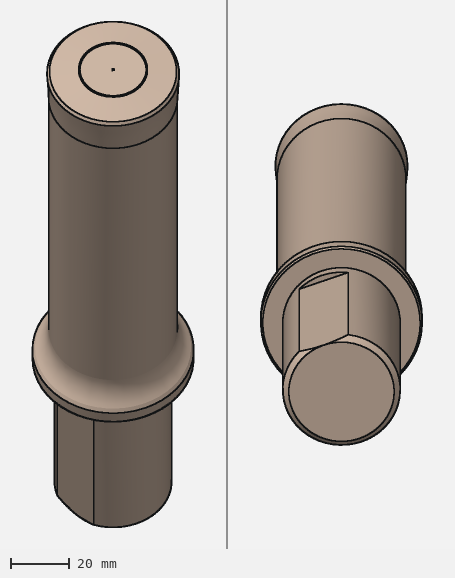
import cadquery as cq
import math

total_height = 230.5
shank_length = 69.5
collar_height = 5.5
collar_top = shank_length + collar_height
shoulder_top = 86.5
head_height = 15.5
head_bottom = total_height - head_height

shank_radius = 40.0 / 2
collar_radius = 55.0 / 2
column_radius = 44.0 / 2
head_radius = 45.2 / 2
groove_radius = 11.5

shank_chamfer_height = 2.0
shank_chamfer_width = 2.0
collar_chamfer = 0.7
shoulder_chamfer_height = 1.4
shoulder_chamfer_width = 1.0
head_chamfer_height = 1.2
head_chamfer_width = 1.0
crown_height = 1.2
groove_width = 0.5
groove_depth = 0.5
center_hole_radius = 0.35
center_hole_depth = 2.3

flat_width = 17.7
flat_top = 65.0
flat_distance = math.sqrt(shank_radius**2 - (flat_width / 2) ** 2)

shoulder_end_radius = collar_radius - shoulder_chamfer_width
shoulder_bottom = collar_top + shoulder_chamfer_height
flare_width = shoulder_end_radius - column_radius
flare_height = shoulder_top - shoulder_bottom
flare_radius = (flare_width**2 + flare_height**2) / (2 * flare_width)
flare_half_angle = math.atan2(flare_width, flare_height)
flare_middle = (
    column_radius + flare_radius * (1 - math.cos(flare_half_angle)),
    shoulder_top - flare_radius * math.sin(flare_half_angle),
)


def make_column():
    """Turned column with a flared collar and a flatted shank."""
    profile = (
        cq.Workplane("XZ")
        .moveTo(0, 0)
        .lineTo(shank_radius - shank_chamfer_width, 0)
        .lineTo(shank_radius, shank_chamfer_height)
        .lineTo(shank_radius, shank_length)
        .lineTo(collar_radius - collar_chamfer, shank_length)
        .lineTo(collar_radius, shank_length + collar_chamfer)
        .lineTo(collar_radius, collar_top)
        .lineTo(shoulder_end_radius, shoulder_bottom)
        .threePointArc(flare_middle, (column_radius, shoulder_top))
        .lineTo(column_radius, head_bottom)
        .lineTo(0, head_bottom)
        .close()
    )
    column = profile.revolve(360, (0, 0, 0), (0, 1, 0))
    flat_cut = cq.Workplane("XY").box(
        2 * shank_radius, shank_radius, flat_top, centered=(True, False, False)
    ).translate((0, -flat_distance - shank_radius, 0))
    return column.cut(flat_cut)


def make_head():
    """Slightly tapered cap with a shallow conical top, a ring groove and a center mark."""
    rim_level = total_height - crown_height
    profile = (
        cq.Workplane("XZ")
        .moveTo(0, head_bottom)
        .lineTo(column_radius, head_bottom)
        .lineTo(head_radius, rim_level - head_chamfer_height)
        .lineTo(head_radius - head_chamfer_width, rim_level)
        .lineTo(groove_radius + groove_width / 2, total_height)
        .lineTo(groove_radius, total_height - groove_depth)
        .lineTo(groove_radius - groove_width / 2, total_height)
        .lineTo(0, total_height)
        .close()
    )
    head = profile.revolve(360, (0, 0, 0), (0, 1, 0))
    center_mark = (
        cq.Workplane("XY")
        .workplane(offset=total_height - center_hole_depth)
        .circle(center_hole_radius)
        .extrude(center_hole_depth)
    )
    return head.cut(center_mark)


column = make_column()
head = make_head()
result = cq.Compound.makeCompound([column.val(), head.val()])